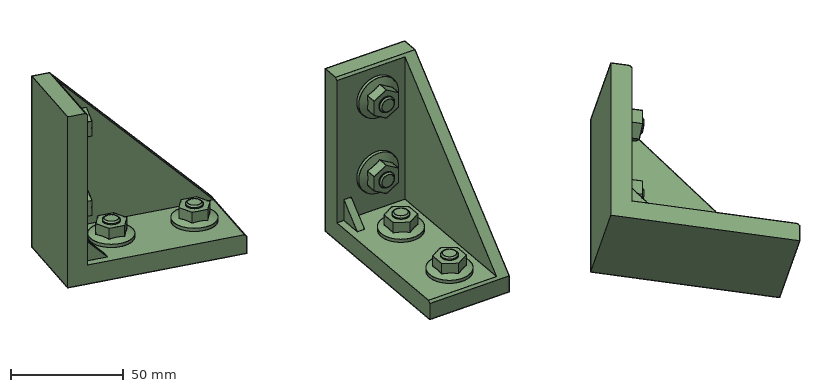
import cadquery as cq
import math

width = 42.0
leg_length = 86.0
leg_end = 8.5
leg_thickness = 9.6
side_wall = 6.0

gusset_left = 34.4
gusset_width = 3.9
gusset_leg = 11.0

nut_offsets = (29.6, 69.5)
flange_diameter = 21.0
flange_rim = 1.6
flange_cone = 1.2
hex_across_flats = 13.0
hex_diameter = hex_across_flats / math.cos(math.pi / 6)
nut_height = 8.0
bolt_diameter = 8.0
bolt_height = 9.4
bolt_chamfer = 0.8


def make_body():
    """Right-angle bracket with one side wall, open towards +X."""
    outline = [
        (0, 0),
        (leg_length, 0),
        (leg_length, leg_end),
        (leg_end, leg_length),
        (0, leg_length),
    ]
    body = cq.Workplane("YZ").polyline(outline).close().extrude(width)
    cavity = cq.Workplane("XY").box(width, leg_length, leg_length, centered=False)
    return body.cut(cavity.translate((side_wall, leg_thickness, leg_thickness)))


def make_gusset():
    """Triangular web joining the two legs."""
    corner = leg_thickness
    tip = leg_thickness + gusset_leg
    return (
        cq.Workplane("YZ", origin=(gusset_left, 0, 0))
        .polyline([(0, 0), (tip, 0), (tip, corner), (corner, tip), (0, tip)])
        .close()
        .extrude(gusset_width)
    )


def make_fastener(center, axis):
    """Flange nut with a protruding bolt end, pointing along axis."""
    plane = cq.Plane(origin=center, xDir=leg_direction(axis), normal=axis)
    flange_radius = flange_diameter / 2
    flange = cq.Workplane(plane).circle(flange_radius).extrude(flange_rim)
    cone = (
        cq.Workplane(plane)
        .workplane(offset=flange_rim)
        .circle(flange_radius)
        .workplane(offset=flange_cone)
        .circle(hex_across_flats / 2)
        .loft(combine=True)
    )
    nut = cq.Workplane(plane).polygon(6, hex_diameter).extrude(nut_height)
    bolt = (
        cq.Workplane(plane)
        .circle(bolt_diameter / 2)
        .extrude(bolt_height)
        .faces(cq.selectors.DirectionMinMaxSelector(cq.Vector(*axis)))
        .chamfer(bolt_chamfer)
    )
    return flange.union(cone).union(nut).union(bolt)


def leg_direction(axis):
    """Direction along the leg whose inner face has the given normal."""
    return (0, axis[2], axis[1])


result = make_body().union(make_gusset())
for offset in nut_offsets:
    on_floor = (width / 2, offset, leg_thickness)
    on_upright = (width / 2, leg_thickness, offset)
    result = result.union(make_fastener(on_floor, (0, 0, 1)))
    result = result.union(make_fastener(on_upright, (0, 1, 0)))